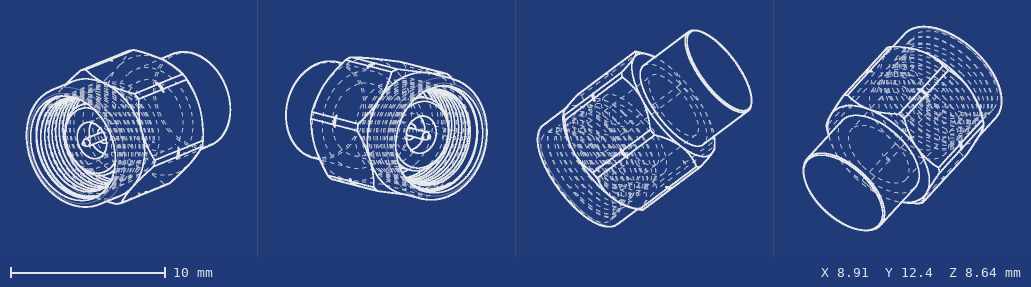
import cadquery as cq
import math

LENGTH = 12.4
FRONT = -LENGTH / 2
BACK = LENGTH / 2

HEX_RADIUS = 4.0
HEX_CORNER_RADIUS = 4.5
HEX_TURN = 11.0
HEX_LENGTH = 6.0
COLLAR_LENGTH = 2.39
COLLAR_FILLET = 0.31
MARK_DEPTH = 0.09
MARK_WIDTH = 0.12

HEX_FRONT = FRONT + COLLAR_LENGTH
HEX_BACK = HEX_FRONT + HEX_LENGTH
HEX_CHAMFER = HEX_CORNER_RADIUS - HEX_RADIUS

MOUTH_RADIUS = 3.5
MOUTH_DEPTH = 0.56
LEAD_IN_RADIUS = 3.43
LEAD_IN_LENGTH = 0.31
BORE_RADIUS = 3.14
BORE_DEPTH = 4.96
THREAD_PITCH = 0.75
THREAD_OPENING = 0.35
THREAD_DEPTH = 0.25
THREAD_TURNS = 5.0
THREAD_START = 0.47
THREAD_OVERLAP = 0.06

REAR_RADIUS = 3.2
REAR_CHAMFER = 0.09
BARREL_RADIUS = 2.39
BARREL_CHAMFER = 0.21
BARREL_RECESS = 1.96
SOCKET_RADIUS = 1.22
SOCKET_DEPTH = 1.24

BARREL_FRONT = FRONT + BARREL_RECESS
SOCKET_FLOOR = BARREL_FRONT + SOCKET_DEPTH

PIN_RADIUS = 0.26
PIN_TIP_RADIUS = 0.1
PIN_TIP_LENGTH = 0.33
PIN_RECESS = 1.1
PIN_BASE_RADIUS = 0.52
PIN_BASE_LENGTH = 1.24

PIN_FRONT = FRONT + PIN_RECESS


def revolve_profile(points):
    """Turn a closed (radius, y) outline into a solid about the Y axis."""
    return cq.Workplane("XY").polyline(points).close().revolve(360, (0, 0, 0), (0, 1, 0))


def cylinder(radius, start, end):
    """Solid cylinder on the Y axis between two Y positions."""
    return revolve_profile([(0, start), (radius, start), (radius, end), (0, end)])


def hexagon_body():
    """Hexagon with rounded, chamfered corners and the ring mark."""
    across_corners = 2 * HEX_RADIUS / math.cos(math.radians(30))
    prism = (
        cq.Workplane("XZ", origin=(0, HEX_BACK, 0))
        .polygon(6, across_corners)
        .extrude(HEX_LENGTH)
        .rotate((0, 0, 0), (0, 1, 0), HEX_TURN)
    )
    middle = (HEX_FRONT + HEX_BACK) / 2
    envelope = revolve_profile([
        (0, HEX_FRONT),
        (HEX_RADIUS, HEX_FRONT),
        (HEX_CORNER_RADIUS, HEX_FRONT + HEX_CHAMFER),
        (HEX_CORNER_RADIUS, middle - MARK_WIDTH / 2),
        (HEX_CORNER_RADIUS - MARK_DEPTH, middle),
        (HEX_CORNER_RADIUS, middle + MARK_WIDTH / 2),
        (HEX_CORNER_RADIUS, HEX_BACK - HEX_CHAMFER),
        (HEX_RADIUS, HEX_BACK),
        (0, HEX_BACK),
    ])
    return prism.intersect(envelope)


def nut_cavity():
    """Mouth, conical lead-in, threaded bore and the clearance for the barrel."""
    mouth_floor = FRONT + MOUTH_DEPTH
    lead_in_end = mouth_floor + LEAD_IN_LENGTH
    bore_floor = FRONT + BORE_DEPTH
    return revolve_profile([
        (0, FRONT),
        (MOUTH_RADIUS, FRONT),
        (MOUTH_RADIUS, mouth_floor),
        (LEAD_IN_RADIUS, mouth_floor),
        (BORE_RADIUS, lead_in_end),
        (BORE_RADIUS, bore_floor),
        (BARREL_RADIUS, bore_floor),
        (BARREL_RADIUS, HEX_BACK),
        (0, HEX_BACK),
    ])


def thread_groove():
    """Right-hand helical V groove cut into the bore wall."""
    inner_radius = BORE_RADIUS - THREAD_OVERLAP
    half_opening = THREAD_OPENING / 2
    inner_half = half_opening * (1 + THREAD_OVERLAP / THREAD_DEPTH)
    helix = cq.Wire.makeHelix(THREAD_PITCH, THREAD_PITCH * THREAD_TURNS, BORE_RADIUS)
    groove = (
        cq.Workplane("XZ")
        .polyline([
            (inner_radius, -inner_half),
            (BORE_RADIUS + THREAD_DEPTH, 0),
            (inner_radius, inner_half),
        ])
        .close()
        .sweep(cq.Workplane(obj=helix), isFrenet=True)
    )
    return (
        groove
        .rotate((0, 0, 0), (1, 0, 0), -90)
        .translate((0, FRONT + THREAD_START, 0))
    )


def make_nut():
    collar = cylinder(HEX_RADIUS, FRONT, HEX_FRONT).faces("<Y").edges().fillet(COLLAR_FILLET)
    return hexagon_body().union(collar).cut(nut_cavity()).cut(thread_groove())


def make_pin():
    """Stepped pin: wide base set in the socket floor, slim shank, conical tip."""
    base_back = SOCKET_FLOOR + PIN_BASE_LENGTH
    return revolve_profile([
        (0, PIN_FRONT),
        (PIN_TIP_RADIUS, PIN_FRONT),
        (PIN_RADIUS, PIN_FRONT + PIN_TIP_LENGTH),
        (PIN_RADIUS, SOCKET_FLOOR),
        (PIN_BASE_RADIUS, SOCKET_FLOOR),
        (PIN_BASE_RADIUS, base_back),
        (0, base_back),
    ])


def make_housing():
    """Rear cylinder and front barrel, with the socket and the seat of the pin base."""
    rear = cylinder(REAR_RADIUS, HEX_BACK, BACK).faces(">Y").chamfer(REAR_CHAMFER)
    barrel = cylinder(BARREL_RADIUS, BARREL_FRONT, HEX_BACK).faces("<Y").chamfer(BARREL_CHAMFER)
    socket = cylinder(SOCKET_RADIUS, BARREL_FRONT, SOCKET_FLOOR)
    pin_seat = cylinder(PIN_BASE_RADIUS, SOCKET_FLOOR, SOCKET_FLOOR + PIN_BASE_LENGTH)
    return rear.union(barrel).cut(socket).cut(pin_seat)


nut = make_nut()
housing = make_housing()
pin = make_pin()

result = cq.Compound.makeCompound([nut.val(), housing.val(), pin.val()])